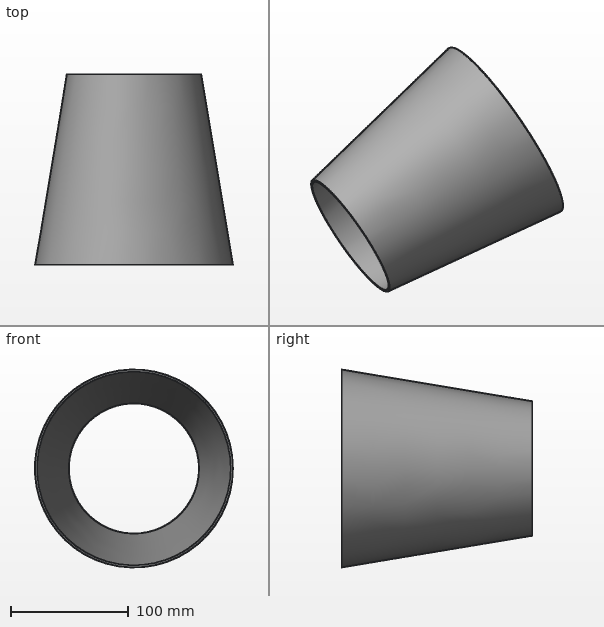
import cadquery as cq

length = 162.0
large_outer_diameter = 168.3
small_outer_diameter = 114.3
wall = 2.0


def frustum(large_diameter, small_diameter):
    """Solid cone frustum with its large end at Y = 0 and its small end at Y = length."""
    large_radius = large_diameter / 2
    small_radius = small_diameter / 2
    profile = [(0, 0), (large_radius, 0), (small_radius, length), (0, length)]
    return cq.Workplane("XY").polyline(profile).close().revolve(360, (0, 0), (0, 1))


outer_cone = frustum(large_outer_diameter, small_outer_diameter)
bore = frustum(large_outer_diameter - 2 * wall, small_outer_diameter - 2 * wall)

result = outer_cone.cut(bore)